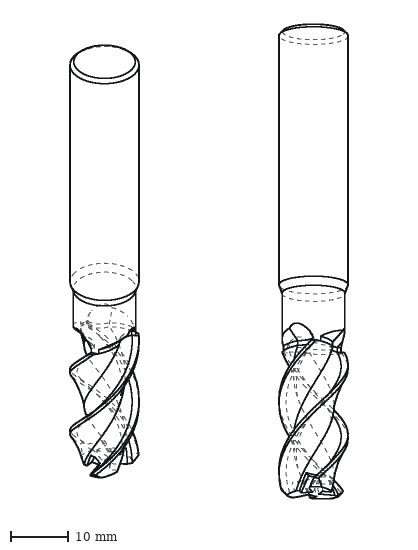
import cadquery as cq
import math

total_length = 83.0
shank_diameter = 12.0
neck_diameter = 10.95
cutter_length = 26.1
neck_top = 36.0
shoulder_top = 37.5
top_chamfer = 0.7

flute_count = 3
helix_angle = 45.0
bottom_edge_angle = -59.0
land_angle = 8.0
root_angle = 73.0
root_radius = 3.6
back_bulge = 0.5
lip_angle = 4.0
lip_radius = 4.8
flute_depth = 0.7

tip_chamfer = 1.25
gash_height = 3.0
gash_crest_offset = 0.7
gash_wall_height = 2.3
gash_lean = 1.5
gash_width = 2.0
gash_inner_radius = 1.0
runout_straight = 0.8
runout_rise = 2.65
runout_shift = 2.65

cutter_radius = shank_diameter / 2
neck_radius = neck_diameter / 2
tooth_pitch = 360.0 / flute_count
lead = math.pi * shank_diameter / math.tan(math.radians(helix_angle))
cutter_twist = 360.0 * cutter_length / lead
overcut = 0.8


def polar(radius, angle):
    return (radius * math.cos(math.radians(angle)), radius * math.sin(math.radians(angle)))


def bowed_midpoint(start, end, bow):
    """Middle of an arc from start to end, bowed to the right of travel when bow is positive."""
    dx = end[0] - start[0]
    dy = end[1] - start[1]
    chord = math.hypot(dx, dy)
    return ((start[0] + end[0]) / 2 + bow * dy / chord, (start[1] + end[1]) / 2 - bow * dx / chord)


def add_flute(outline, edge_angle):
    """Continue an outline from a tooth's heel through the flute to the next cutting edge."""
    heel = polar(cutter_radius, edge_angle + land_angle)
    root = polar(root_radius, edge_angle + root_angle)
    lip = polar(lip_radius, edge_angle + tooth_pitch + lip_angle)
    next_edge = polar(cutter_radius, edge_angle + tooth_pitch)
    return (
        outline.threePointArc(bowed_midpoint(heel, root, back_bulge), root)
        .threePointArc(bowed_midpoint(root, lip, -flute_depth), lip)
        .lineTo(*next_edge)
    )


def fluted_section(first_edge_angle):
    """Closed cross-section: a land and a flute for each tooth."""
    section = cq.Workplane("XY").moveTo(*polar(cutter_radius, first_edge_angle))
    for tooth in range(flute_count):
        edge_angle = first_edge_angle + tooth * tooth_pitch
        land_middle = polar(cutter_radius, edge_angle + land_angle / 2)
        heel = polar(cutter_radius, edge_angle + land_angle)
        section = add_flute(section.threePointArc(land_middle, heel), edge_angle)
    return section.close()


def make_gash(edge_angle):
    """Wedge that opens the flute at the tip, with a wall that leans under the tooth."""
    wedge = (
        cq.Workplane("YZ", origin=(gash_inner_radius, 0, 0))
        .polyline([
            (0, -overcut),
            (0, 0),
            (gash_lean, gash_wall_height),
            (-gash_crest_offset, gash_height),
            (-gash_width, 0),
            (-gash_width, -overcut),
        ])
        .close()
        .extrude(cutter_radius)
    )
    return wedge.rotate((0, 0, 0), (0, 0, 1), edge_angle)


def make_cutter():
    teeth = fluted_section(bottom_edge_angle).twistExtrude(cutter_length, cutter_twist)
    envelope = (
        cq.Workplane("XZ")
        .polyline([
            (0, 0),
            (cutter_radius - tip_chamfer, 0),
            (cutter_radius + overcut, tip_chamfer + overcut),
            (cutter_radius + overcut, cutter_length),
            (0, cutter_length),
        ])
        .close()
        .revolve(360, (0, 0, 0), (0, 1, 0))
    )
    teeth = teeth.intersect(envelope)
    for tooth in range(flute_count):
        teeth = teeth.cut(make_gash(bottom_edge_angle + tooth * tooth_pitch))
    return teeth


def make_runout(edge_angle):
    """One flute continued into the neck: straight up, then climbing outward."""
    heel_angle = edge_angle + land_angle
    next_angle = edge_angle + tooth_pitch
    outer_radius = 2 * shank_diameter
    outline = cq.Workplane("XY").moveTo(*polar(cutter_radius, heel_angle))
    outline = (
        add_flute(outline, edge_angle)
        .lineTo(*polar(outer_radius, next_angle))
        .lineTo(*polar(outer_radius, heel_angle))
        .close()
    )
    wire = outline.wires().val().moved(cq.Location(cq.Vector(0, 0, cutter_length)))
    shift = polar(runout_shift, edge_angle + root_angle)
    straight = cq.Solid.extrudeLinear(wire, [], cq.Vector(0, 0, runout_straight))
    climb_wire = wire.moved(cq.Location(cq.Vector(0, 0, runout_straight)))
    climb = cq.Solid.extrudeLinear(climb_wire, [], cq.Vector(shift[0], shift[1], runout_rise))
    return straight, climb


def make_shank():
    blank = (
        cq.Workplane("XZ")
        .polyline([
            (0, cutter_length),
            (neck_radius, cutter_length),
            (neck_radius, neck_top),
            (cutter_radius, shoulder_top),
            (cutter_radius, total_length - top_chamfer),
            (cutter_radius - top_chamfer, total_length),
            (0, total_length),
        ])
        .close()
        .revolve(360, (0, 0, 0), (0, 1, 0))
    )
    for tooth in range(flute_count):
        edge_angle = bottom_edge_angle + cutter_twist + tooth * tooth_pitch
        for runout_part in make_runout(edge_angle):
            blank = blank.cut(cq.Workplane(runout_part))
    return blank


cutter = make_cutter()
shank = make_shank()
result = cq.Compound.makeCompound([cutter.val(), shank.val()])